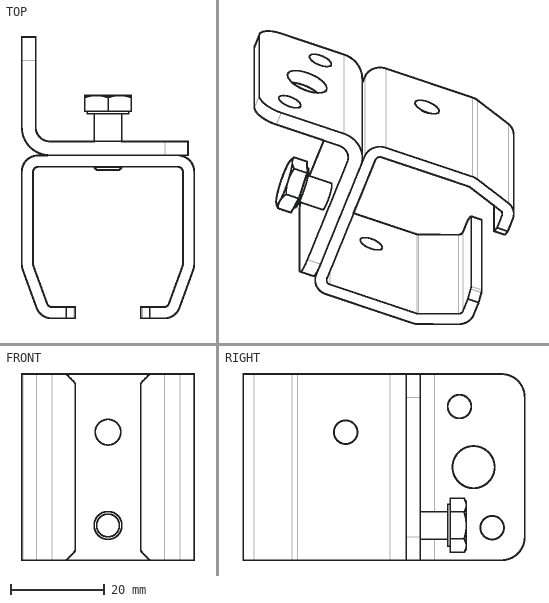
import cadquery as cq
import math

height = 40.0
overall_depth = 60.4

channel_width = 37.0
channel_depth = 35.0
channel_wall = 2.5
channel_bend_radius = 3.5
taper_depth = 11.0
taper_angle = 20.0
mouth_width = 14.0
lip_chamfer = 2.0
lip_round = 1.0
cross_hole_y = -13.0
cross_hole_z = 7.5
left_hole_diameter = 5.5
right_hole_diameter = 5.0
back_hole_diameter = left_hole_diameter

bracket_thickness = 3.0
bracket_width = 35.7
bracket_depth = overall_depth - channel_depth
bracket_inner_radius = 3.0
bracket_corner_radius = 5.0
small_hole_diameter = 5.0
small_hole_z = 13.0
upper_hole_inset = 14.0
lower_hole_inset = 7.0
large_hole_diameter = 9.0
large_hole_inset = 11.0

bolt_z = -12.5
shank_diameter = 6.0
shank_length = 12.0
tip_chamfer = 0.55
tip_protrusion = 0.65
collar_diameter = 9.0
collar_thickness = 0.55
head_sides = 6
head_across_flats = 10.0
head_thickness = 3.45
head_chamfer_angle = 30.0

left_x = -channel_width / 2
right_x = channel_width / 2


def cylinder_y(diameter, z, y_start, y_end):
    """Cylinder along +Y, centred on x = 0."""
    axis_start = cq.Vector(0, y_start, z)
    solid = cq.Solid.makeCylinder(diameter / 2, y_end - y_start, axis_start, cq.Vector(0, 1, 0))
    return cq.Workplane(solid)


def cylinder_x(diameter, y, z, x_start, x_end):
    """Cylinder along +X."""
    axis_start = cq.Vector(x_start, y, z)
    solid = cq.Solid.makeCylinder(diameter / 2, x_end - x_start, axis_start, cq.Vector(1, 0, 0))
    return cq.Workplane(solid)


def make_mouth():
    """Cutter for the front opening, flared at its top and bottom ends."""
    half_mouth = mouth_width / 2
    half_flare = half_mouth + lip_chamfer
    half_height = height / 2
    chamfer_z = half_height - lip_chamfer
    cutter = (
        cq.Workplane("XZ", origin=(0, -channel_depth, 0))
        .polyline([
            (-half_flare, -half_height),
            (half_flare, -half_height),
            (half_mouth, -chamfer_z),
            (half_mouth, chamfer_z),
            (half_flare, half_height),
            (-half_flare, half_height),
            (-half_mouth, chamfer_z),
            (-half_mouth, -chamfer_z),
        ])
        .close()
        .extrude(-channel_wall)
    )
    margin = lip_chamfer / 2
    inner_corners = cq.selectors.BoxSelector(
        (-half_mouth - margin, -channel_depth - margin, -chamfer_z - margin),
        (half_mouth + margin, 0, chamfer_z + margin),
    )
    return cutter.edges("|Y").edges(inner_corners).fillet(lip_round)


def make_channel():
    front_half_width = channel_width / 2 - taper_depth * math.tan(math.radians(taper_angle))
    taper_y = taper_depth - channel_depth
    outer = (
        cq.Workplane("XY", origin=(0, 0, -height / 2))
        .polyline([
            (left_x, 0),
            (left_x, taper_y),
            (-front_half_width, -channel_depth),
            (front_half_width, -channel_depth),
            (right_x, taper_y),
            (right_x, 0),
        ])
        .close()
        .extrude(height)
        .edges("|Z")
        .fillet(channel_bend_radius)
    )
    tube = outer.faces(">Z").wires().toPending().offset2D(-channel_wall).cutThruAll()
    left_hole = cylinder_x(left_hole_diameter, cross_hole_y, cross_hole_z, left_x, 0)
    right_hole = cylinder_x(right_hole_diameter, cross_hole_y, cross_hole_z, 0, right_x)
    back_hole = cylinder_y(back_hole_diameter, cross_hole_z, -channel_wall, 0)
    bolt_hole = cylinder_y(shank_diameter, bolt_z, -channel_wall, 0)
    return tube.cut(make_mouth()).cut(left_hole).cut(right_hole).cut(back_hole).cut(bolt_hole)


def make_bracket():
    bracket_right_x = left_x + bracket_width
    inner_x = left_x + bracket_thickness
    plate = (
        cq.Workplane("XY", origin=(0, 0, -height / 2))
        .polyline([
            (left_x, 0),
            (bracket_right_x, 0),
            (bracket_right_x, bracket_thickness),
            (inner_x, bracket_thickness),
            (inner_x, bracket_depth),
            (left_x, bracket_depth),
        ])
        .close()
        .extrude(height)
    )
    inner_bend = cq.selectors.NearestToPointSelector((inner_x, bracket_thickness, 0))
    outer_bend = cq.selectors.NearestToPointSelector((left_x, 0, 0))
    plate = plate.edges("|Z").edges(inner_bend).fillet(bracket_inner_radius)
    plate = plate.edges("|Z").edges(outer_bend).fillet(bracket_inner_radius + bracket_thickness)

    plate = plate.faces(">Y").edges("|X").fillet(bracket_corner_radius)
    plate = plate.faces(">X").edges("|Y").fillet(bracket_corner_radius)

    upright_holes = [
        (small_hole_diameter, upper_hole_inset, small_hole_z),
        (small_hole_diameter, lower_hole_inset, -small_hole_z),
        (large_hole_diameter, large_hole_inset, 0),
    ]
    for diameter, inset, z in upright_holes:
        plate = plate.cut(cylinder_x(diameter, bracket_depth - inset, z, left_x, inner_x))
    return plate.cut(cylinder_y(shank_diameter, bolt_z, 0, bracket_thickness))


def make_bolt_head(base_y):
    """Hexagon with corners toward +Z and -Z, its outer corners bevelled by a cone."""
    half_side_angle = math.pi / head_sides
    corner_radius = head_across_flats / 2 / math.cos(half_side_angle)
    top_y = base_y + head_thickness
    hexagon = (
        cq.Workplane("XZ", origin=(0, base_y, bolt_z))
        .transformed(rotate=(0, 0, 90))
        .polygon(head_sides, 2 * corner_radius)
        .extrude(-head_thickness)
    )
    bevel_width = corner_radius - head_across_flats / 2
    bevel_drop = bevel_width * math.tan(math.radians(head_chamfer_angle))
    bevel = (
        cylinder_y(2 * corner_radius, bolt_z, base_y, top_y)
        .faces(">Y")
        .chamfer(bevel_drop, bevel_width)
    )
    return hexagon.intersect(bevel)


def make_bolt():
    tip_y = -channel_wall - tip_protrusion
    collar_y = tip_y + shank_length
    head_y = collar_y + collar_thickness
    shank = cylinder_y(shank_diameter, bolt_z, tip_y, collar_y).faces("<Y").chamfer(tip_chamfer)
    collar = cylinder_y(collar_diameter, bolt_z, collar_y, head_y)
    return shank.union(collar).union(make_bolt_head(head_y))


channel = make_channel()
bracket = make_bracket()
bolt = make_bolt()
result = cq.Compound.makeCompound([channel.solids().val(), bracket.solids().val(), bolt.solids().val()])